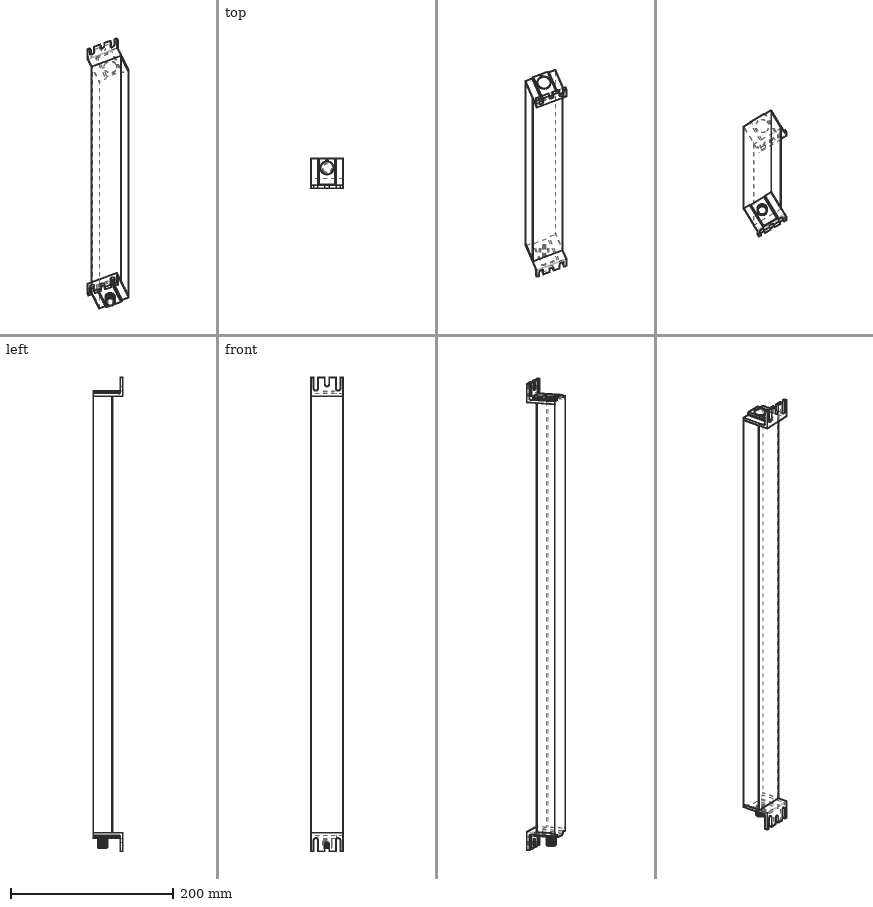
import cadquery as cq

total_width = 40.0
total_depth = 37.0
total_length = 585.0
back_y = total_depth / 2
front_y = -total_depth / 2

bracket_height = 23.5
housing_depth = 24.5
cover_thickness = 2.0
cover_inset = 0.3
housing_end_z = total_length / 2 - bracket_height
housing_front_y = back_y - housing_depth

sheet = 3.5
bend_radius = 2.0
foot_edge_radius = 0.5
slot_width = 5.0
side_slot_depth = 16.5
centre_slot_depth = 11.0
side_lug_width = 3.5
side_slot_x = total_width / 2 - side_lug_width - slot_width / 2

rib_width = 22.0
rib_height = 3.5
rib_chamfer = 2.0
rib_front_y = front_y + sheet + bend_radius
foot_top_z = housing_end_z + sheet
rib_top_z = foot_top_z + rib_height

port_y = back_y - 11.5
port_diameter = 16.5
plug_diameter = 16.0
ring_groove_depth = 1.0
key_diameter = 3.2

thread_diameter = 12.0
thread_root_diameter = 10.5
connector_length = 12.0
ring_count = 5
ring_pitch = connector_length / ring_count
ring_thickness = ring_pitch / 2


def box_between(x_size, y_low, y_high, z_low, z_high):
    """Box centred on X with the given Y and Z limits."""
    return (
        cq.Workplane("XY")
        .box(x_size, y_high - y_low, z_high - z_low, centered=(True, False, False))
        .translate((0, y_low, z_low))
    )


def cylinder(diameter, y, z_low, height):
    """Upright cylinder on the centre plane X = 0."""
    return cq.Workplane("XY", origin=(0, y, z_low)).circle(diameter / 2).extrude(height)


def make_housing():
    """Rectangular bar with a slightly narrower front cover."""
    cover_back_y = housing_front_y + cover_thickness
    bar = box_between(total_width, cover_back_y, back_y, -housing_end_z, housing_end_z)
    cover_width = total_width - 2 * cover_inset
    cover = box_between(cover_width, housing_front_y, cover_back_y, -housing_end_z, housing_end_z)
    return bar.union(cover)


def wall_slot(x, depth):
    """Open slot with a round bottom, cut down from the free edge of the wall."""
    top_z = total_length / 2
    radius = slot_width / 2
    centre_z = top_z - depth + radius
    return (
        cq.Workplane("XZ", origin=(0, front_y + sheet, 0))
        .moveTo(x - radius, top_z)
        .lineTo(x - radius, centre_z)
        .threePointArc((x, top_z - depth), (x + radius, centre_z))
        .lineTo(x + radius, top_z)
        .close()
        .extrude(sheet)
    )


def make_bracket():
    """Upper bent-sheet bracket with its slotted wall and raised rib."""
    foot = box_between(total_width, front_y, back_y, housing_end_z, foot_top_z)
    wall = box_between(total_width, front_y, front_y + sheet, housing_end_z, total_length / 2)
    bracket = foot.union(wall)
    inner_corner = cq.selectors.NearestToPointSelector((0, front_y + sheet, foot_top_z))
    bracket = bracket.edges(inner_corner).fillet(bend_radius)
    bracket = bracket.faces("<Z").edges("not >Y").fillet(foot_edge_radius)
    for x, depth in (
        (-side_slot_x, side_slot_depth),
        (0, centre_slot_depth),
        (side_slot_x, side_slot_depth),
    ):
        bracket = bracket.cut(wall_slot(x, depth))
    rib = box_between(rib_width, rib_front_y, back_y, foot_top_z, rib_top_z)
    rib = rib.edges("|Y and >Z").chamfer(rib_chamfer)
    return bracket.union(rib)


def make_port_groove():
    """Ring groove around the plug, with a small round key notch at the back."""
    groove_z = rib_top_z - ring_groove_depth
    key_y = port_y + port_diameter / 2
    outer = cylinder(port_diameter, port_y, groove_z, ring_groove_depth)
    key = cylinder(key_diameter, key_y, groove_z, ring_groove_depth)
    plug = cylinder(plug_diameter, port_y, groove_z, ring_groove_depth)
    return outer.union(key).cut(plug)


def make_connector():
    """Threaded stub below the lower bracket, its thread modelled as plain rings."""
    bottom_z = -rib_top_z - connector_length
    stub = cylinder(thread_root_diameter, port_y, bottom_z, connector_length)
    for i in range(ring_count):
        ring_z = bottom_z + i * ring_pitch + ring_thickness
        stub = stub.union(cylinder(thread_diameter, port_y, ring_z, ring_thickness))
    return stub


bracket = make_bracket()
result = make_housing().union(bracket).union(bracket.mirror("XY"))
result = result.cut(make_port_groove()).union(make_connector())